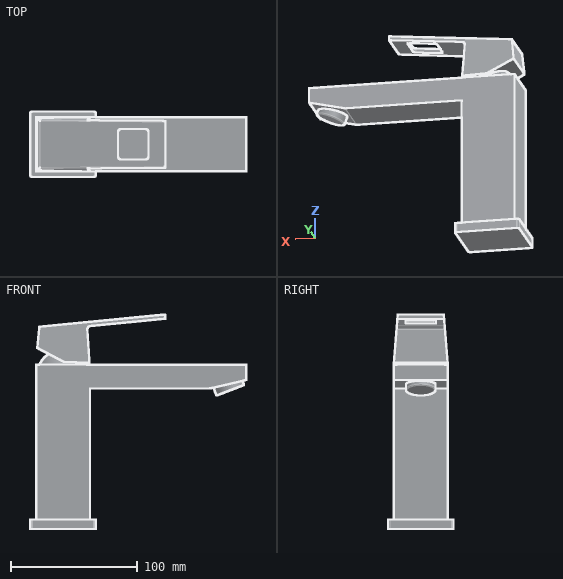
import cadquery as cq
import math


base_side = 52.0
base_height = 7.7
base_corner_radius = 1.7
column_side = 42.7
column_half = column_side / 2

body_top = 130.1
spout_tip_x = 171 - base_side / 2
spout_underside = 111.1
spout_bevel_x = 115.8
spout_tip_bottom = 118.0

aerator_diameter = 23.6
aerator_tilt = 21.0
aerator_x = 132.3
aerator_z = 109.8
aerator_length = 8.5
aerator_edge = 0.7

dome_radius = 20.9
dome_centre_drop = 8.9

handle_top = 170.0
handle_bottom = 131.7
handle_tip_x = 80.9
handle_tip_thickness = 3.6
handle_back_x = -18.8
handle_back_top = 160.2
handle_heel_x = -20.5
handle_heel_z = 143.3
handle_sole_x = 0.7
handle_sole_z = 132.3
handle_front_x = 21.0
handle_neck_x = 19.1
handle_neck_radius = 2.5
handle_top_width = 36.6
handle_edge_radius = 0.7

window_side = 24.0
window_x = 55.5
window_corner_radius = 2.0

lever_slope = (handle_top - handle_back_top) / (handle_tip_x - handle_back_x)


def make_base():
    plate = cq.Workplane("XY").rect(base_side, base_side).extrude(base_height)
    return plate.edges("|Z").fillet(base_corner_radius)


def make_body():
    """Column and spout as one profile, extruded across the column width."""
    profile = [
        (-column_half, 0),
        (-column_half, body_top),
        (spout_tip_x, body_top),
        (spout_tip_x, spout_tip_bottom),
        (spout_bevel_x, spout_underside),
        (column_half, spout_underside),
        (column_half, 0),
    ]
    return cq.Workplane("XZ").polyline(profile).close().extrude(column_half, both=True)


def make_aerator():
    """Cylinder whose outlet face is centred at (aerator_x, aerator_z)."""
    tilt = math.radians(aerator_tilt)
    inward = (-math.sin(tilt), 0, math.cos(tilt))
    outlet = cq.Plane(origin=(aerator_x, 0, aerator_z), xDir=(0, 1, 0), normal=inward)
    cylinder = cq.Workplane(outlet).circle(aerator_diameter / 2).extrude(aerator_length)
    return cylinder.faces("<Z").edges().fillet(aerator_edge)


def make_dome():
    ball = cq.Workplane("XY").sphere(dome_radius).translate((0, 0, body_top - dome_centre_drop))
    upper = cq.Workplane("XY", origin=(0, 0, body_top)).rect(column_side, column_side).extrude(dome_radius)
    return ball.intersect(upper)


def make_handle():
    """Side profile trimmed by a trapezoid so that the handle narrows upwards."""
    tip_bottom = handle_top - handle_tip_thickness
    neck_z = tip_bottom - lever_slope * (handle_tip_x - handle_neck_x)
    profile = [
        (handle_back_x, handle_back_top),
        (handle_tip_x, handle_top),
        (handle_tip_x, tip_bottom),
        (handle_neck_x, neck_z),
        (handle_front_x, handle_bottom),
        (handle_sole_x, handle_sole_z),
        (handle_heel_x, handle_heel_z),
    ]
    side = cq.Workplane("XZ").polyline(profile).close().extrude(column_half, both=True)
    neck_edge = cq.selectors.NearestToPointSelector((handle_neck_x, 0, neck_z))
    side = side.edges("|Y").edges(neck_edge).fillet(handle_neck_radius)

    taper = [
        (-column_half, handle_bottom),
        (column_half, handle_bottom),
        (handle_top_width / 2, handle_top),
        (-handle_top_width / 2, handle_top),
    ]
    section = cq.Workplane("YZ", origin=(handle_heel_x, 0, 0)).polyline(taper).close()
    handle = side.intersect(section.extrude(handle_tip_x - handle_heel_x))
    top_middle = ((handle_back_x + handle_tip_x) / 2, 0, (handle_back_top + handle_top) / 2)
    top_face = cq.selectors.NearestToPointSelector(top_middle)
    handle = handle.faces(top_face).edges().fillet(handle_edge_radius)

    window = cq.Workplane("XY", origin=(window_x, 0, body_top)).rect(window_side, window_side)
    window = window.extrude(handle_top - body_top).edges("|Z").fillet(window_corner_radius)
    return handle.cut(window)


result = make_base().union(make_body()).union(make_aerator()).union(make_dome()).union(make_handle())